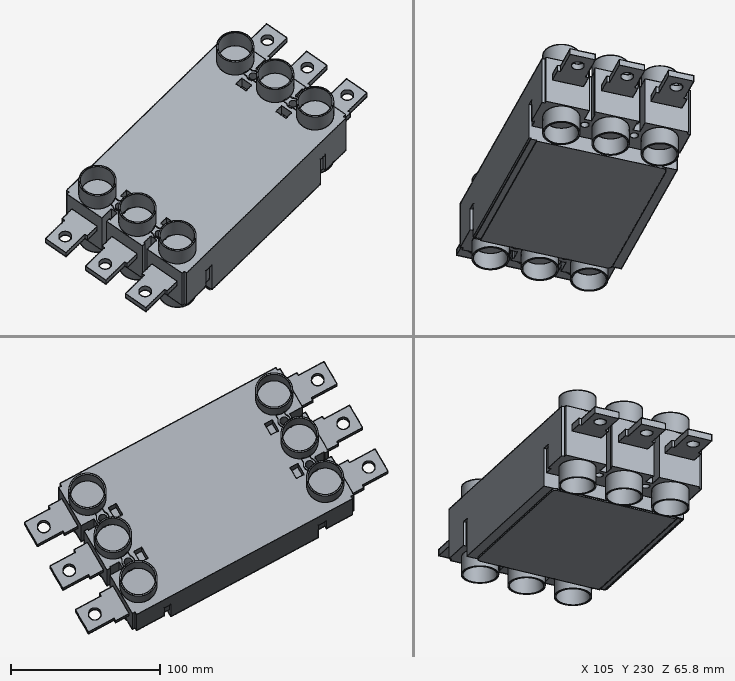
import cadquery as cq


total_height = 65.8
total_length = 230.0
body_width = 105.0
body_length = 170.0
body_height = 37.5
pole_pitch = 35.0
pole_positions = [-pole_pitch, 0, pole_pitch]
gap_positions = [-pole_pitch / 2, pole_pitch / 2]
ends = [-1, 1]
body_end = body_length / 2

corner_step = 2.0

middle_pole_half_width = 14.7
outer_pole_inner_edge = 19.8
pole_slot_depth = 10.0
lip_width = 1.0
lip_length = 2.8

socket_diameter = 25.0
socket_bore = 23.0
socket_end_distance = 13.3
upper_socket_height = 15.2
lower_socket_height = total_height - body_height - upper_socket_height

terminal_thickness = 4.8
terminal_bottom = 19.3
blade_width = 18.0
shoulder_width = 22.0
shoulder_length = 10.4
terminal_hole_diameter = 8.5
terminal_hole_tip_distance = 10.0

screw_hole_diameter = 5.5
screw_recess_diameter = 8.5
screw_end_distance = 15.5
channel_width = 6.0
recess_depth = 1.0
channel_overlap = 1.2
pocket_width = 8.7
pocket_length = 6.0
pocket_depth = 9.2
pocket_end_distance = 25.0

block_length = 113.2
block_height = 10.5
front_notch_length = 6.2
back_notch_length = 5.0
notch_height = 18.0
notch_depth = 2.0
plate_thickness = 1.4
plate_left = -45.5
plate_right = 47.2
plate_front_overhang = 0.7
plate_corner_radius = 3.5
plate_lip_right = 51.3
plate_lip_thickness = 0.7


def box(x_range, y_range, z_range):
    """Box between pairs of coordinates, each pair in either order."""
    (x0, x1), (y0, y1), (z0, z1) = sorted(x_range), sorted(y_range), sorted(z_range)
    return cq.Workplane("XY").box(x1 - x0, y1 - y0, z1 - z0, centered=False).translate((x0, y0, z0))


def centered_box(center_x, center_y, width, length, z_range):
    """Box centred on a point in plan."""
    x_range = (center_x - width / 2, center_x + width / 2)
    y_range = (center_y - length / 2, center_y + length / 2)
    return box(x_range, y_range, z_range)


def cylinder(center_x, center_y, diameter, bottom, top):
    """Upright cylinder between two heights."""
    base = cq.Workplane("XY", origin=(center_x, center_y, bottom))
    return base.circle(diameter / 2).extrude(top - bottom)


def make_housing():
    """Body with stepped corners, joined to the lower block."""
    full_height = (0, body_height)
    body = centered_box(0, 0, body_width, body_length - 2 * corner_step, full_height)
    body = body.union(centered_box(0, 0, body_width - 2 * corner_step, body_length, full_height))
    return body.union(centered_box(0, 0, body_width, block_length, (-block_height, body_height)))


def make_pole_slot(side, end):
    """Slot beside the middle pole, leaving a small lip at the pole's end."""
    full_height = (0, body_height)
    slot = box(
        (side * middle_pole_half_width, side * outer_pole_inner_edge),
        (end * (body_end - pole_slot_depth), end * body_end),
        full_height,
    )
    lip = box(
        (side * middle_pole_half_width, side * (middle_pole_half_width + lip_width)),
        (end * (body_end - lip_length), end * body_end),
        full_height,
    )
    return slot.cut(lip)


def make_side_notch(side, end):
    """Notch in the side wall, next to the end of the lower block."""
    block_end = block_length / 2
    notch_length = front_notch_length if end < 0 else back_notch_length
    return box(
        (side * (body_width / 2 - notch_depth), side * body_width / 2),
        (end * block_end, end * (block_end + notch_length)),
        (0, notch_height),
    )


def make_screw_hole(x, end):
    """Through hole sunk in a shallow channel that joins two sockets."""
    y = end * (body_end - screw_end_distance)
    floor = body_height - recess_depth
    gap_between_sockets = pole_pitch - socket_diameter
    channel_length = gap_between_sockets + 2 * channel_overlap
    hole = cylinder(x, y, screw_hole_diameter, 0, body_height)
    recess = cylinder(x, y, screw_recess_diameter, floor, body_height)
    channel = centered_box(x, y, channel_length, channel_width, (floor, body_height))
    return hole.union(recess).union(channel)


def make_pocket(x, end):
    """Blind rectangular pocket in the top face."""
    y = end * (body_end - pocket_end_distance)
    return centered_box(x, y, pocket_width, pocket_length, (body_height - pocket_depth, body_height))


def make_socket(x, end, bottom, top):
    """Thin-walled tube."""
    y = end * (body_end - socket_end_distance)
    return cylinder(x, y, socket_diameter, bottom, top).cut(cylinder(x, y, socket_bore, bottom, top))


def make_terminal(x, end):
    """Flat blade with a wider shoulder at the body and a hole near its tip."""
    tip = total_length / 2
    z_range = (terminal_bottom, terminal_bottom + terminal_thickness)
    blade = box((x - blade_width / 2, x + blade_width / 2), (end * body_end, end * tip), z_range)
    shoulder = box(
        (x - shoulder_width / 2, x + shoulder_width / 2),
        (end * body_end, end * (body_end + shoulder_length)),
        z_range,
    )
    hole = cylinder(x, end * (tip - terminal_hole_tip_distance), terminal_hole_diameter, *z_range)
    return blade.union(shoulder).cut(hole)


def make_base_plate():
    """Thin plate under the block: round left corners and a thinner right edge."""
    y_range = (-block_length / 2 - plate_front_overhang, block_length / 2)
    top = -block_height
    plate = box((plate_left, plate_right), y_range, (top - plate_thickness, top))
    plate = plate.edges("|Z and <X").fillet(plate_corner_radius)
    return plate.union(box((plate_right, plate_lip_right), y_range, (top - plate_lip_thickness, top)))


result = make_housing()

for end in ends:
    for side in ends:
        result = result.cut(make_pole_slot(side, end))
        result = result.cut(make_side_notch(side, end))
    for x in gap_positions:
        result = result.cut(make_screw_hole(x, end))
        result = result.cut(make_pocket(x, end))

result = result.union(make_base_plate())

for end in ends:
    for x in pole_positions:
        result = result.union(make_socket(x, end, body_height, body_height + upper_socket_height))
        result = result.union(make_socket(x, end, -lower_socket_height, 0))
        result = result.union(make_terminal(x, end))